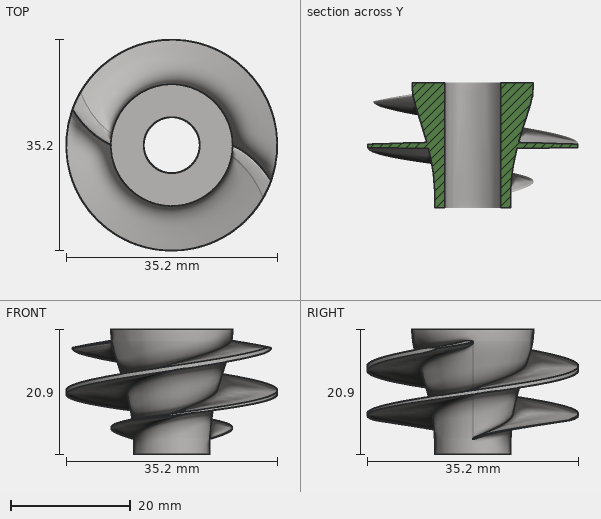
import cadquery as cq
import math


HUB_HEIGHT = 20.89
BORE_RADIUS = 4.65
HUB_PROFILE = [
    (6.36, 0),
    (6.37, 2.5),
    (6.74, 6.6),
    (7.62, 10.6),
    (8.82, 14.6),
    (9.84, 18),
    (10.16, HUB_HEIGHT),
]

BLADE_COUNT = 2
TIP_RADIUS = 17.615
HUB_WRAP = 360.0
LEADING_SWEEP = 66.0
TRAILING_SWEEP = 19.8
ROOT_RADIUS_START = 6.4
ROOT_RADIUS_END = 10.1

TIP_HEIGHT = (10.33, 3.86, 0.15)
ROOT_HEIGHT = (10.4, 4.025, 0.06)

ROOT_THICKENING = 1.5
EDGE_THICKNESS = 0.06
NOSE_THICKNESS = 0.2
FULL_THICKNESS = 0.78
THICKENING_POWER = 3
NOSE_ANGLE = 2.7
TAIL_ANGLE = 10.3

ROOT_OVERLAP = 0.8
TIP_OVERLAP = 0.4
RADIAL_POINTS = 5
MAIN_SECTIONS = 22
TAIL_SECTIONS = 6


def make_hub():
    profile = (
        cq.Workplane("XZ")
        .moveTo(0, 0)
        .lineTo(*HUB_PROFILE[0])
        .spline(HUB_PROFILE[1:], includeCurrent=True)
        .lineTo(0, HUB_HEIGHT)
        .close()
    )
    return profile.revolve(360, (0, 0, 0), (0, 1, 0))


def leading_angle(radius):
    return LEADING_SWEEP * (radius - ROOT_RADIUS_START) / (TIP_RADIUS - ROOT_RADIUS_START)


def trailing_angle(radius):
    return HUB_WRAP - TRAILING_SWEEP * (radius - ROOT_RADIUS_END) / (TIP_RADIUS - ROOT_RADIUS_END)


def height_law(coefficients, angle):
    middle, rise, curvature = coefficients
    quarter_turns = (angle - HUB_WRAP / 2) / 90
    return middle + rise * quarter_turns + curvature * quarter_turns**2


def root_radius(along):
    return ROOT_RADIUS_START + (ROOT_RADIUS_END - ROOT_RADIUS_START) * along


def outward_fraction(angle, radius):
    """0 at the blade root, 1 at its tip."""
    root = root_radius(angle / HUB_WRAP)
    return (radius - root) / (TIP_RADIUS - root)


def blade_height(angle, radius):
    root = height_law(ROOT_HEIGHT, angle)
    tip = height_law(TIP_HEIGHT, angle)
    return root + (tip - root) * outward_fraction(angle, radius)


def half_thickness(tip_thickness, angle, radius):
    return tip_thickness / 2 * (1 + (ROOT_THICKENING - 1) * (1 - outward_fraction(angle, radius)))


def blade_section(along, tip_thickness, angle_at):
    """Lower and upper curves across the blade, from inside the hub to just past the tip."""
    inner = root_radius(along) - ROOT_OVERLAP
    outer = TIP_RADIUS + TIP_OVERLAP
    lower = []
    upper = []
    for i in range(RADIAL_POINTS):
        radius = inner + (outer - inner) * i / (RADIAL_POINTS - 1)
        angle = angle_at(radius)
        x = radius * math.cos(math.radians(angle))
        y = radius * math.sin(math.radians(angle))
        z = blade_height(angle, radius)
        offset = half_thickness(tip_thickness, angle, radius)
        lower.append(cq.Vector(x, y, z - offset))
        upper.append(cq.Vector(x, y, z + offset))
    return cq.Edge.makeSpline(lower), cq.Edge.makeSpline(upper)


def section_wire(section):
    lower, upper = section
    inner_side = cq.Edge.makeLine(lower.startPoint(), upper.startPoint())
    outer_side = cq.Edge.makeLine(lower.endPoint(), upper.endPoint())
    return cq.Wire.assembleEdges([lower, outer_side, upper, inner_side])


def leading_edge_section():
    return blade_section(0, EDGE_THICKNESS, leading_angle)


def main_section(along):
    tip_thickness = FULL_THICKNESS - (FULL_THICKNESS - NOSE_THICKNESS) * (1 - along)**THICKENING_POWER

    def angle_at(radius):
        start = leading_angle(radius) + NOSE_ANGLE
        end = trailing_angle(radius) - TAIL_ANGLE
        return start + (end - start) * along

    return blade_section(along, tip_thickness, angle_at)


def tail_section(turn):
    """Section of the elliptically rounded tail; turn runs from 0 to 90 degrees."""
    tip_thickness = max(EDGE_THICKNESS, FULL_THICKNESS * math.cos(math.radians(turn)))
    before_edge = TAIL_ANGLE * (1 - math.sin(math.radians(turn)))
    return blade_section(1, tip_thickness, lambda radius: trailing_angle(radius) - before_edge)


def loft_sides(sections, ruled=False):
    return cq.Solid.makeLoft([section_wire(section) for section in sections], ruled).Faces()


def make_blade():
    leading = leading_edge_section()
    main = [main_section(i / (MAIN_SECTIONS - 1)) for i in range(MAIN_SECTIONS)]
    tail = [main[-1]] + [tail_section(90 * i / TAIL_SECTIONS) for i in range(1, TAIL_SECTIONS + 1)]
    faces = [cq.Face.makeRuledSurface(*leading), cq.Face.makeRuledSurface(*tail[-1])]
    faces += loft_sides([leading, main[0]], ruled=True)
    faces += loft_sides(main)
    faces += loft_sides(tail)
    blade = cq.Solid.makeSolid(cq.Shell.makeShell(faces))
    return cq.Workplane(obj=blade)


def make_part():
    tip_cylinder = cq.Workplane("XY").circle(TIP_RADIUS).extrude(HUB_HEIGHT)
    bore = cq.Workplane("XY").circle(BORE_RADIUS).extrude(HUB_HEIGHT)
    blade = make_blade().intersect(tip_cylinder)
    part = make_hub()
    for i in range(BLADE_COUNT):
        part = part.union(blade.rotate((0, 0, 0), (0, 0, 1), 360 * i / BLADE_COUNT))
    return part.cut(bore).solids()


result = make_part()